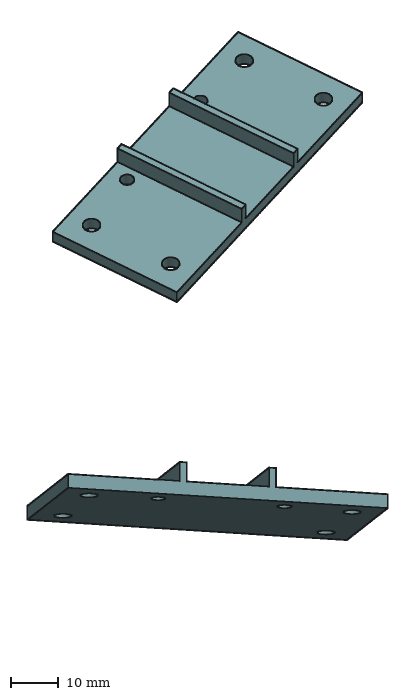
import cadquery as cq

plate_width = 31.4
plate_length = 69.7
plate_thickness = 3.0

total_height = 7.1
rib_thickness = 1.5
rib_gap = 17.9
rib_height = total_height - plate_thickness
rib_offset = (rib_gap + rib_thickness) / 2

mount_diameter = 3.7
mount_spacing_x = 20.0
mount_spacing_y = 57.35

side_diameter = 3.0
side_x = -11.15
side_spacing_y = 27.5
side_center_y = 0.15


def make_rib(y):
    return (
        cq.Workplane("XY", origin=(0, y, plate_thickness))
        .box(plate_width, rib_thickness, rib_height, centered=(True, True, False))
    )


plate = (
    cq.Workplane("XY")
    .box(plate_width, plate_length, plate_thickness, centered=(True, True, False))
    .faces(">Z").workplane()
    .rect(mount_spacing_x, mount_spacing_y, forConstruction=True)
    .vertices()
    .hole(mount_diameter)
    .faces(">Z").workplane(origin=(0, 0, plate_thickness))
    .pushPoints([(side_x, side_center_y + side * side_spacing_y / 2) for side in (-1, 1)])
    .hole(side_diameter)
)

result = plate
for side in (-1, 1):
    result = result.union(make_rib(side * rib_offset))